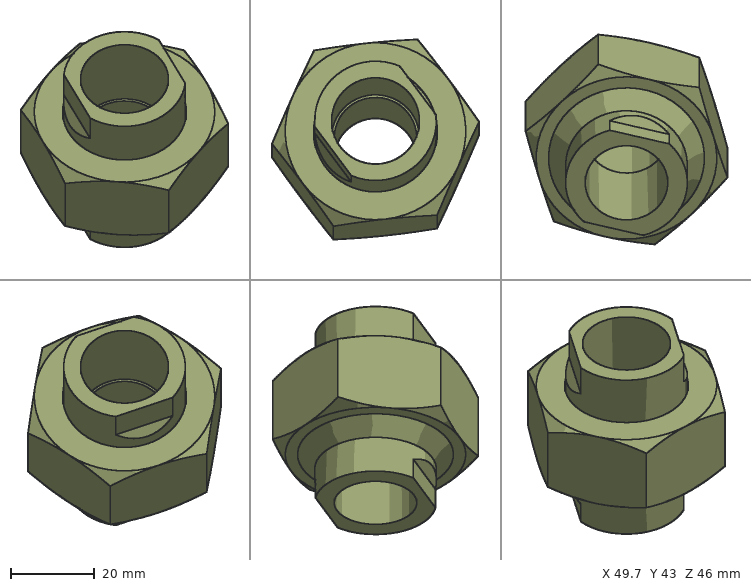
import cadquery as cq
import math

nut_corner_diameter = 49.65
nut_height = 20.0
nut_chamfer_angle = 30.0
nut_web = 4.1
nut_clearance = 0.25

tail_radius = 14.5
flat_distance = 12.5
flat_runout = tail_radius - flat_distance

upper_length = 12.45
upper_flat_length = 7.7
upper_bore_radius = 10.5
collar_height = 3.95

lower_length = 13.5
lower_flat_length = 5.15
lower_bore_radius = 9.85
cone_height = 4.05

nut_corner_radius = nut_corner_diameter / 2
nut_inner_radius = nut_corner_radius * math.cos(math.pi / 6)
socket_radius = tail_radius + cone_height
collar_top = nut_height - nut_web
joint_height = collar_top - collar_height
top_end = nut_height + upper_length
bottom_end = -lower_length


def revolve_profile(points):
    """Revolve (radius, height) points about the Z axis."""
    return cq.Workplane("XZ").polyline(points).close().revolve(360, (0, 0), (0, 1))


def cut_wrench_flats(tail, end, flat_length, inward):
    """Cut two flats on the +Y and -Y sides; inward is the Z direction from the end into the tail."""
    flat_end = end + inward * flat_length
    runout_end = flat_end + inward * flat_runout
    for side in (-1, 1):
        wedge = (
            cq.Workplane("YZ")
            .moveTo(side * flat_distance, end)
            .lineTo(side * flat_distance, flat_end)
            .lineTo(side * tail_radius, runout_end)
            .lineTo(side * tail_radius, end)
            .close()
            .extrude(tail_radius, both=True)
        )
        tail = tail.cut(wedge)
    return tail


def make_nut():
    """Hexagon nut with conical corner chamfers and a stepped bore."""
    hexagon = cq.Workplane("XY").polygon(6, nut_corner_diameter).extrude(nut_height)
    chamfer_drop = (nut_corner_radius - nut_inner_radius) * math.tan(math.radians(nut_chamfer_angle))
    chamfered_envelope = revolve_profile([
        (0, 0),
        (nut_inner_radius, 0),
        (nut_corner_radius, chamfer_drop),
        (nut_corner_radius, nut_height - chamfer_drop),
        (nut_inner_radius, nut_height),
        (0, nut_height),
    ])
    socket = cq.Workplane("XY").circle(socket_radius).extrude(collar_top)
    lip_hole = cq.Workplane("XY").circle(tail_radius + nut_clearance).extrude(nut_height)
    return hexagon.intersect(chamfered_envelope).cut(socket).cut(lip_hole)


def make_upper_tail():
    """Flatted tube whose collar sits under the lip of the nut."""
    tail = revolve_profile([
        (upper_bore_radius, joint_height),
        (socket_radius, joint_height),
        (socket_radius, collar_top),
        (tail_radius, collar_top),
        (tail_radius, top_end),
        (upper_bore_radius, top_end),
    ])
    return cut_wrench_flats(tail, top_end, upper_flat_length, -1)


def make_lower_tail():
    """Flatted tube that widens by a cone and fills the socket of the nut up to the collar."""
    tail = revolve_profile([
        (lower_bore_radius, bottom_end),
        (tail_radius, bottom_end),
        (tail_radius, -cone_height),
        (socket_radius, 0),
        (socket_radius, joint_height),
        (lower_bore_radius, joint_height),
    ])
    return cut_wrench_flats(tail, bottom_end, lower_flat_length, 1)


nut = make_nut()
upper_tail = make_upper_tail()
lower_tail = make_lower_tail()

bodies = [*nut.solids().vals(), *upper_tail.solids().vals(), *lower_tail.solids().vals()]
result = cq.Compound.makeCompound(bodies)